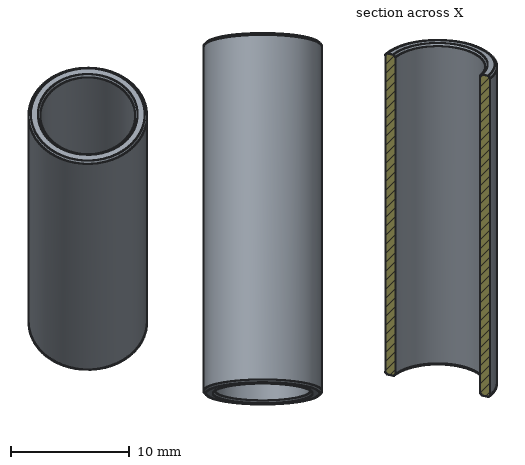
import cadquery as cq

length = 30.0
outer_diameter = length / 3
bore_diameter = 0.8 * outer_diameter
edge_chamfer = 0.2

tube = (
    cq.Workplane("XY")
    .circle(outer_diameter / 2)
    .circle(bore_diameter / 2)
    .extrude(length)
)

result = tube.faces("<Z or >Z").edges().chamfer(edge_chamfer)